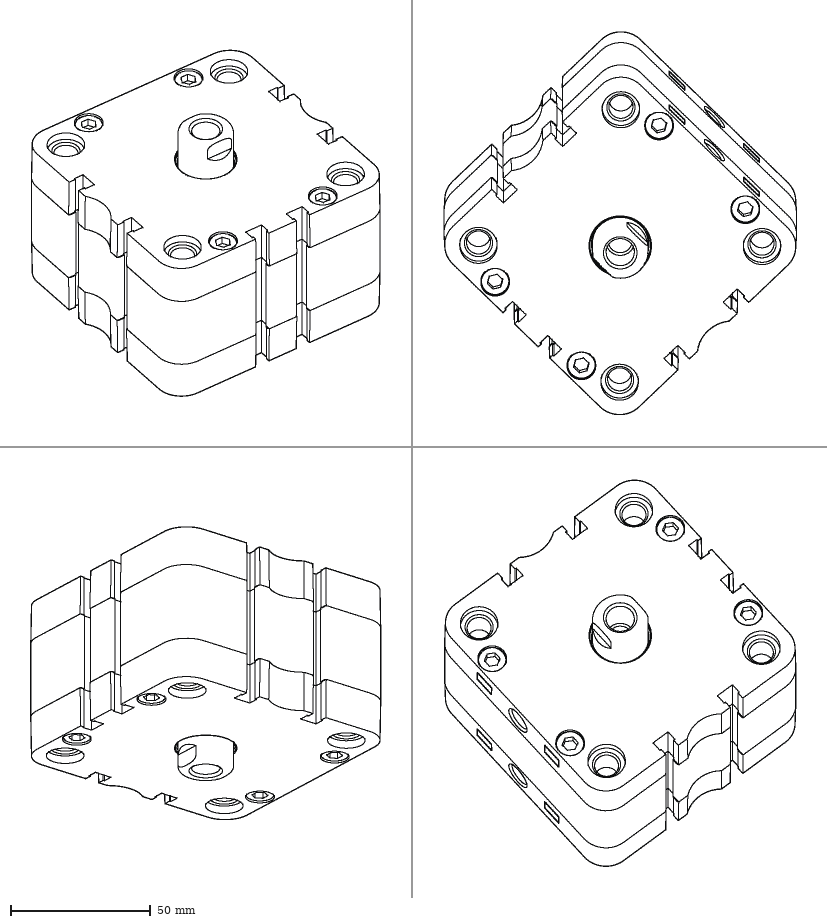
import cadquery as cq
import math


SIDE = 95.5
HALF_SIDE = SIDE / 2
CORNER_RADIUS = 10.1
SCALLOP_DIAMETER = 25.0
SCALLOP_DEPTH = 2.8

BARREL_HEIGHT = 29.0
CAP_HEIGHT = 15.0
CAP_DRAFT_ANGLE = 1.0
ROD_TOP_LENGTH = 14.0
ROD_BOTTOM_LENGTH = 9.0
CAP_FACE_Z = BARREL_HEIGHT / 2 + CAP_HEIGHT

SLOT_INNER_WIDTH = 7.0
CAP_MOUTH_WIDTH = 5.8
BARREL_MOUTH_WIDTH = 5.3
BARREL_EDGE_RADIUS = 0.7
EDGE_SEARCH_MARGIN = 0.1
Y_SIDE_SLOT_OFFSET = 15.0
Y_SIDE_SLOT_DEPTH = 6.8
Y_SIDE_MOUTH_DEPTH = 3.0
X_SIDE_SLOT_OFFSET = 9.0
X_SIDE_SLOT_DEPTH = 5.6
X_SIDE_MOUTH_DEPTH = 1.8

MOUNT_SPACING = 72.0
MOUNT_RECESS_DIAMETER = 13.5
MOUNT_RECESS_DEPTH = 3.0
MOUNT_CHAMFER_DIAMETER = 10.1
MOUNT_HOLE_DIAMETER = 8.6
MOUNT_HOLE_DEPTH = 13.4

BOLT_SPACING_X = 82.9
BOLT_SPACING_Y = 44.0
BOLT_RECESS_DIAMETER = 10.3
BOLT_RECESS_DEPTH = 0.7
BOLT_HEAD_DIAMETER = 9.8
BOLT_GROOVE_DEPTH = 1.2
BOLT_SOCKET_FLATS = 5.0
BOLT_SOCKET_DEPTH = 2.9

PORT_DIAMETER = 8.6
PORT_CHAMFER_DIAMETER = 10.3
PORT_BELOW_FACE = 7.8
PORT_DEPTH = 5.7
LABEL_LENGTH = 8.0
LABEL_HEIGHT = 5.0
LABEL_DEPTH = 0.2
LABEL_OFFSET = 19.0

ROD_DIAMETER = 20.0
ROD_END_RADIUS = 2.0
ROD_FLATS_WIDTH = 17.0
ROD_FLATS_LENGTH = 5.8
ROD_BORE_DIAMETER = 8.4
ROD_THREAD_DIAMETER = 10.1
ROD_THREAD_CHAMFER_DIAMETER = 12.0
ROD_THREAD_DEPTH = 14.3
DRILL_POINT_ANGLE = 118.0
WIPER_CHAMFER_DIAMETER = 22.4
WIPER_DIAMETER = 21.9
WIPER_DEPTH = 1.4
ROD_GAP_DIAMETER = 20.6
ROD_GAP_DEPTH = 3.8


def cylinder(diameter, z_low, z_high):
    """Solid cylinder on the Z axis between two heights."""
    return cq.Workplane("XY").workplane(offset=z_low).circle(diameter / 2).extrude(z_high - z_low)


def countersink(diameter, small_diameter, z_face, slope=1.0):
    """Cone on the Z axis that narrows downward from z_face; slope is depth per unit of radius."""
    depth = slope * (diameter - small_diameter) / 2
    return cq.Workplane("XY").add(
        cq.Solid.makeCone(small_diameter / 2, diameter / 2, depth, pnt=cq.Vector(0, 0, z_face - depth))
    )


def housing_outline(z):
    """Square with rounded corners and a shallow round scallop in the -Y and +Y sides."""
    scallop_radius = SCALLOP_DIAMETER / 2
    half_chord = math.sqrt(scallop_radius**2 - (scallop_radius - SCALLOP_DEPTH) ** 2)
    flat_end = HALF_SIDE - CORNER_RADIUS
    corner_middle = flat_end + CORNER_RADIUS * math.sqrt(0.5)
    scallop_floor = HALF_SIDE - SCALLOP_DEPTH
    return (
        cq.Workplane("XY")
        .workplane(offset=z)
        .moveTo(-flat_end, -HALF_SIDE)
        .lineTo(-half_chord, -HALF_SIDE)
        .threePointArc((0, -scallop_floor), (half_chord, -HALF_SIDE))
        .lineTo(flat_end, -HALF_SIDE)
        .threePointArc((corner_middle, -corner_middle), (HALF_SIDE, -flat_end))
        .lineTo(HALF_SIDE, flat_end)
        .threePointArc((corner_middle, corner_middle), (flat_end, HALF_SIDE))
        .lineTo(half_chord, HALF_SIDE)
        .threePointArc((0, scallop_floor), (-half_chord, HALF_SIDE))
        .lineTo(-flat_end, HALF_SIDE)
        .threePointArc((-corner_middle, corner_middle), (-HALF_SIDE, flat_end))
        .lineTo(-HALF_SIDE, -flat_end)
        .threePointArc((-corner_middle, -corner_middle), (-flat_end, -HALF_SIDE))
        .close()
    )


def t_slot(offset, depth, mouth_depth, mouth_width):
    """T-slot through the full housing height, opening on the -Y side at X = offset."""
    height = 2 * CAP_FACE_Z
    mouth = cq.Workplane("XY").box(mouth_width, 2 * mouth_depth, height).translate((offset, -HALF_SIDE, 0))
    inner_depth = depth - mouth_depth
    inner_y = -HALF_SIDE + mouth_depth + inner_depth / 2
    inner = cq.Workplane("XY").box(SLOT_INNER_WIDTH, inner_depth, height).translate((offset, inner_y, 0))
    return mouth.union(inner)


def cut_slots(body, mouth_width):
    """Cut two T-slots in each of the -Y, +X and +Y sides."""
    slotted_sides = [
        (0, Y_SIDE_SLOT_OFFSET, Y_SIDE_SLOT_DEPTH, Y_SIDE_MOUTH_DEPTH),
        (90, X_SIDE_SLOT_OFFSET, X_SIDE_SLOT_DEPTH, X_SIDE_MOUTH_DEPTH),
        (180, Y_SIDE_SLOT_OFFSET, Y_SIDE_SLOT_DEPTH, Y_SIDE_MOUTH_DEPTH),
    ]
    for turn, offset, depth, mouth_depth in slotted_sides:
        for side in (-1, 1):
            slot = t_slot(side * offset, depth, mouth_depth, mouth_width)
            body = body.cut(slot.rotate((0, 0, 0), (0, 0, 1), turn))
    return body


def make_barrel():
    """Extruded middle section with rounded slot lips and scallop edges."""
    barrel = housing_outline(-BARREL_HEIGHT / 2).extrude(BARREL_HEIGHT)
    barrel = cut_slots(barrel, BARREL_MOUTH_WIDTH)
    barrel = barrel.cut(cylinder(ROD_DIAMETER, -BARREL_HEIGHT / 2, BARREL_HEIGHT / 2))

    margin = EDGE_SEARCH_MARGIN
    reach = HALF_SIDE - CORNER_RADIUS - margin
    near_face = HALF_SIDE - margin
    far_face = HALF_SIDE + margin
    front_edges = cq.selectors.BoxSelector((-reach, -far_face, -margin), (reach, -near_face, margin))
    back_edges = cq.selectors.BoxSelector((-reach, near_face, -margin), (reach, far_face, margin))
    x_side_edges = cq.selectors.BoxSelector((near_face, -reach, -margin), (far_face, reach, margin))
    return barrel.edges(front_edges + back_edges + x_side_edges).fillet(BARREL_EDGE_RADIUS)


def mount_hole():
    """Cutter for a corner hole: flat recess, then a chamfered blind hole."""
    recess_floor = CAP_FACE_Z - MOUNT_RECESS_DEPTH
    recess = cylinder(MOUNT_RECESS_DIAMETER, recess_floor, CAP_FACE_Z)
    hole = cylinder(MOUNT_HOLE_DIAMETER, CAP_FACE_Z - MOUNT_HOLE_DEPTH, recess_floor)
    chamfer = countersink(MOUNT_CHAMFER_DIAMETER, MOUNT_HOLE_DIAMETER, recess_floor)
    return recess.union(hole).union(chamfer)


def bolt_head_marking():
    """Cutter for a bolt: shallow recess, ring groove around the head, and hexagon socket."""
    head_top = CAP_FACE_Z - BOLT_RECESS_DEPTH
    groove_floor = CAP_FACE_Z - BOLT_GROOVE_DEPTH
    groove = cylinder(BOLT_RECESS_DIAMETER, groove_floor, CAP_FACE_Z)
    groove = groove.cut(cylinder(BOLT_HEAD_DIAMETER, groove_floor, head_top))
    across_corners = BOLT_SOCKET_FLATS / math.cos(math.pi / 6)
    socket = (
        cq.Workplane("XY")
        .workplane(offset=head_top)
        .polygon(6, across_corners)
        .extrude(-BOLT_SOCKET_DEPTH)
        .rotate((0, 0, 0), (0, 0, 1), 30)
    )
    return groove.union(socket)


def at_four_corners(cutter, spacing_x, spacing_y):
    """Copies of a cutter at the corners of a centred rectangle."""
    return [
        cutter.translate((side_x * spacing_x / 2, side_y * spacing_y / 2, 0))
        for side_x in (-1, 1)
        for side_y in (-1, 1)
    ]


def rod_opening():
    """Cutter for the rod: chamfered wiper recess, clearance gap, then a close fit."""
    opening = cylinder(ROD_DIAMETER, BARREL_HEIGHT / 2, CAP_FACE_Z)
    opening = opening.union(cylinder(ROD_GAP_DIAMETER, CAP_FACE_Z - ROD_GAP_DEPTH, CAP_FACE_Z))
    opening = opening.union(cylinder(WIPER_DIAMETER, CAP_FACE_Z - WIPER_DEPTH, CAP_FACE_Z))
    return opening.union(countersink(WIPER_CHAMFER_DIAMETER, WIPER_DIAMETER, CAP_FACE_Z))


def air_port():
    """Cutter for the blind chamfered port in the -X side."""
    bore_radius = PORT_DIAMETER / 2
    mouth_radius = PORT_CHAMFER_DIAMETER / 2
    port = (
        cq.Workplane("XZ")
        .moveTo(0, mouth_radius)
        .lineTo(mouth_radius, mouth_radius)
        .lineTo(mouth_radius, 0)
        .lineTo(bore_radius, bore_radius - mouth_radius)
        .lineTo(bore_radius, -PORT_DEPTH)
        .lineTo(0, -PORT_DEPTH)
        .close()
        .revolve(360, (0, 0, 0), (0, 1, 0))
    )
    face_x = HALF_SIDE - (CAP_HEIGHT - PORT_BELOW_FACE) * math.tan(math.radians(CAP_DRAFT_ANGLE))
    return port.rotate((0, 0, 0), (0, 1, 0), -90).translate((-face_x, 0, CAP_FACE_Z - PORT_BELOW_FACE))


def label_recess(side):
    """Cutter for a shallow rectangular recess in the -X side, beside the port."""
    middle_z = CAP_FACE_Z - CAP_HEIGHT / 2
    face_x = HALF_SIDE - CAP_HEIGHT / 2 * math.tan(math.radians(CAP_DRAFT_ANGLE))
    block = cq.Workplane("XY").box(2 * LABEL_DEPTH, LABEL_LENGTH, LABEL_HEIGHT)
    return block.rotate((0, 0, 0), (0, 1, 0), CAP_DRAFT_ANGLE).translate((-face_x, side * LABEL_OFFSET, middle_z))


def make_cap():
    """Upper cap, whose outline tapers slightly away from the barrel."""
    cap = housing_outline(BARREL_HEIGHT / 2).extrude(CAP_HEIGHT, taper=CAP_DRAFT_ANGLE)
    cap = cut_slots(cap, CAP_MOUTH_WIDTH)
    cap = cap.cut(rod_opening()).cut(air_port())
    for side in (-1, 1):
        cap = cap.cut(label_recess(side))
    for cutter in at_four_corners(mount_hole(), MOUNT_SPACING, MOUNT_SPACING):
        cap = cap.cut(cutter)
    for cutter in at_four_corners(bolt_head_marking(), BOLT_SPACING_X, BOLT_SPACING_Y):
        cap = cap.cut(cutter)
    return cap


def rod_end_cutter(length_beyond_cap):
    """Cutter for an upper rod end: wrench flats in the +X and -X sides and a threaded hole."""
    end_z = CAP_FACE_Z + length_beyond_cap
    flat_x = ROD_FLATS_WIDTH / 2
    outer_x = ROD_DIAMETER / 2
    shoulder_z = end_z - ROD_FLATS_LENGTH
    flat = (
        cq.Workplane("XZ")
        .moveTo(flat_x, end_z)
        .lineTo(flat_x, shoulder_z)
        .lineTo(outer_x, shoulder_z - (outer_x - flat_x))
        .lineTo(outer_x, end_z)
        .close()
        .extrude(ROD_DIAMETER / 2, both=True)
    )
    thread_floor = end_z - ROD_THREAD_DEPTH
    drill_slope = 1 / math.tan(math.radians(DRILL_POINT_ANGLE / 2))
    return (
        flat.union(flat.mirror("YZ"))
        .union(cylinder(ROD_THREAD_DIAMETER, thread_floor, end_z))
        .union(countersink(ROD_THREAD_DIAMETER, ROD_BORE_DIAMETER, thread_floor, drill_slope))
        .union(countersink(ROD_THREAD_CHAMFER_DIAMETER, ROD_THREAD_DIAMETER, end_z))
    )


def make_rod():
    """Through rod, bored along its length and worked the same way at both ends."""
    top_z = CAP_FACE_Z + ROD_TOP_LENGTH
    bottom_z = -CAP_FACE_Z - ROD_BOTTOM_LENGTH
    rod = cylinder(ROD_DIAMETER, bottom_z, top_z).edges("%CIRCLE").fillet(ROD_END_RADIUS)
    rod = rod.cut(cylinder(ROD_BORE_DIAMETER, bottom_z, top_z))
    rod = rod.cut(rod_end_cutter(ROD_TOP_LENGTH))
    return rod.cut(rod_end_cutter(ROD_BOTTOM_LENGTH).mirror("XY"))


barrel = make_barrel()
rod = make_rod()
upper_cap = make_cap()
lower_cap = upper_cap.mirror("XY")

result = cq.Compound.makeCompound([barrel.val(), upper_cap.val(), lower_cap.val(), rod.val()])